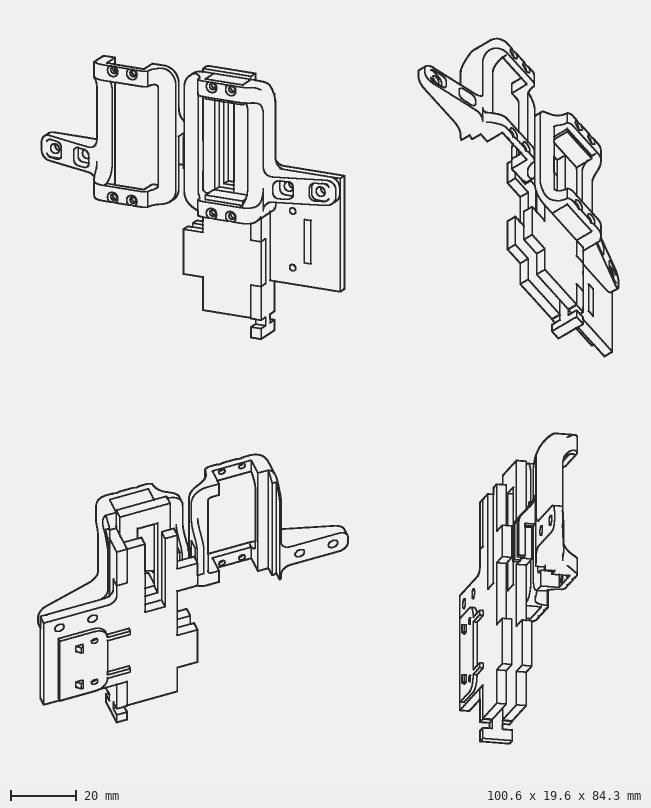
import cadquery as cq
import math


rear_plate_back = 3.0
front_plate_back = -3.2
plate_front = -6.3
board_back = 4.2
hook_back = 5.4

bar_inner = 23.1
bar_outer = 26.5
plate_side = 6.7
tab_side = 0.1
rear_plate_end = 50.4
window_slot_left = 10.8
window_slot_right = 17.3

foot_top = 3.4
neck_top = 6.1
plate_bottom = 6.3
front_plate_top = 84.3
rear_plate_top = 76.3
lower_tab = (17.0, 31.5)
upper_tab = (51.2, 61.2)
frame_bottom = 39.4
frame_top = 83.3
frame_middle = (frame_bottom + frame_top) / 2
slot_height = 31.1
slot_bottom = frame_middle - slot_height / 2
slot_top = frame_middle + slot_height / 2

frame_front = -14.2
shelf_front = -8.4
frame_inner_end = 1.4
frame_outer = 28.3
beam_height = 5.0
window_bottom = frame_bottom + beam_height
window_top = frame_top - beam_height
window_left = 6.8
window_corner_radius = 1.2
lip_thickness = 0.5
lip_front = -3.1
bend_radius = 4.9
sweep_radius = 5.0
sweep_start = 3.5
nose_start = 10.5
outer_corner_radius = 1.9
inner_corner_radius = 5.0
column_fillet = 5.0
pad_front = -12.1

wall_arc_start = 75.3
wall_arc_middle = (-2.5, 80.0)
rail_width = 2.1
rail_back = -1.2
rail_bottom = 51.0
rail_curve_radius = 5.0
rail_slope_run = 2.1
rail_slope_angle = math.radians(45)

arm_tip = 50.2
arm_tip_thickness = 2.5
arm_slope_end = 29.5
arm_bottom = 45.4
arm_top = 53.6
arm_middle = (arm_bottom + arm_top) / 2
arm_radius = 3.0
bolt_positions = (34.4, 45.2)
bolt_diameter = 3.0
nut_pocket_width = 6.0
nut_pocket_height = 5.7
nut_pocket_radius = 1.8
nut_pocket_floor = -3.1

screw_positions = (13.6, 20.1)
screw_edge_distance = 1.5
screw_diameter = 2.0
countersink_diameter = 3.5

board_left = 30.0
board_right = 45.5
board_bottom = 18.1
board_top = 44.8
board_corner_radius = 4.2
board_hole_diameter = 2.0
board_hole_x = board_left + board_corner_radius
board_hole_heights = (board_bottom + board_corner_radius, board_top - board_corner_radius)
board_middle = (board_bottom + board_top) / 2
leg_left = 22.5
leg_height = 1.5
key_left = 38.1
key_right = 40.4
key_height = 14.0
hook_height = 2.3
hook_side_back = 4.8
hook_crest_left = 38.4
hook_crest_right = 39.0


def block(x_range, y_range, z_range):
    """Box between the given limits."""
    size = [high - low for low, high in (x_range, y_range, z_range)]
    corner = (x_range[0], y_range[0], z_range[0])
    return cq.Workplane("XY").box(*size, centered=False).translate(corner)


def front_sketch(y):
    """XZ sketch plane at the given Y; a negative extrusion runs towards the back."""
    return cq.Workplane("XZ", origin=(0, y, 0))


def cylinder_along_y(x, z, diameter, y_front, y_back):
    return front_sketch(y_front).center(x, z).circle(diameter / 2).extrude(y_front - y_back)



def bent_frame():
    """Bent cross-section, run the full height and trimmed to rounded corners."""
    sweep_end = (sweep_start + sweep_radius, shelf_front - sweep_radius)
    section = (
        cq.Workplane("XY", origin=(0, 0, frame_bottom))
        .moveTo(frame_outer, 0)
        .lineTo(frame_outer, frame_front + bend_radius)
        .radiusArc((frame_outer - bend_radius, frame_front), bend_radius)
        .lineTo(nose_start, frame_front)
        .tangentArcPoint(sweep_end, relative=False)
        .radiusArc((sweep_start, shelf_front), -sweep_radius)
        .lineTo(frame_inner_end, shelf_front)
        .lineTo(frame_inner_end, plate_front)
        .lineTo(bar_outer, plate_front)
        .lineTo(bar_outer, lip_front)
        .lineTo(frame_outer - lip_thickness, lip_front)
        .lineTo(frame_outer - lip_thickness, 0)
        .close()
        .extrude(frame_top - frame_bottom)
    )
    outline = block((frame_inner_end, frame_outer), (frame_front, 0), (frame_bottom, frame_top))
    outline = outline.edges("|Y and >X").fillet(outer_corner_radius)
    outline = outline.edges("|Y and <X").fillet(inner_corner_radius)
    return section.intersect(outline)


def frame_window():
    """Opening between the beams, with small corners on the side of the mirror plane."""
    opening = block((window_left, bar_inner), (frame_front, 0), (window_bottom, window_top))
    return opening.edges("|Y and <X").fillet(window_corner_radius)


def column_relief():
    """Sets the column back from the beams, with large fillets into both."""
    relief = block((bar_inner, frame_outer), (frame_front, shelf_front), (window_bottom, window_top))
    return relief.edges("|X and >Y").fillet(column_fillet)


def beam_notches():
    """Recess for a pad in the back of both beams."""
    return block((nose_start, bar_inner), (pad_front, plate_front), (frame_bottom, frame_top))


def wall_top_trim():
    """Curved cut off the top rear corner of the outer wall."""
    return (
        cq.Workplane("YZ")
        .moveTo(0, wall_arc_start)
        .threePointArc(wall_arc_middle, (plate_front, frame_top))
        .lineTo(0, frame_top)
        .close()
        .extrude(frame_outer)
    )


def hook_rail():
    """Rail behind the inner edge that hooks over the upper tab of the front plate."""
    curve_depth = rail_curve_radius * (1 - math.cos(rail_slope_angle))
    curve_rise = rail_curve_radius * math.sin(rail_slope_angle)
    slope_rise = rail_slope_run * math.tan(rail_slope_angle)
    slope_start = (rail_back - curve_depth, upper_tab[1] + curve_rise)
    slope_end = (slope_start[0] - rail_slope_run, slope_start[1] + slope_rise)
    return (
        cq.Workplane("YZ", origin=(frame_inner_end, 0, 0))
        .moveTo(rail_back, rail_bottom)
        .lineTo(rail_back, upper_tab[1])
        .radiusArc(slope_start, -rail_curve_radius)
        .lineTo(*slope_end)
        .radiusArc((plate_front, slope_end[1] + curve_rise), rail_curve_radius)
        .lineTo(plate_front, upper_tab[1])
        .lineTo(front_plate_back, upper_tab[1])
        .lineTo(front_plate_back, rail_bottom)
        .close()
        .extrude(rail_width)
    )


def arm():
    """Tapered arm with a rounded tip and blends into the outer wall."""
    taper = (
        cq.Workplane("XY", origin=(0, 0, frame_bottom))
        .moveTo(frame_outer, 0)
        .lineTo(arm_tip, 0)
        .lineTo(arm_tip, -arm_tip_thickness)
        .lineTo(arm_slope_end, shelf_front)
        .lineTo(frame_outer, shelf_front)
        .close()
        .extrude(frame_top - frame_bottom)
    )
    outline = (
        front_sketch(shelf_front)
        .moveTo(frame_outer, arm_bottom - arm_radius)
        .radiusArc((frame_outer + arm_radius, arm_bottom), arm_radius)
        .lineTo(arm_tip - arm_radius, arm_bottom)
        .radiusArc((arm_tip, arm_bottom + arm_radius), -arm_radius)
        .lineTo(arm_tip, arm_top - arm_radius)
        .radiusArc((arm_tip - arm_radius, arm_top), -arm_radius)
        .lineTo(frame_outer + arm_radius, arm_top)
        .radiusArc((frame_outer, arm_top + arm_radius), arm_radius)
        .close()
        .extrude(shelf_front)
    )
    return taper.intersect(outline)


def nut_pocket(x):
    """Rounded pocket with a flat floor, open to the sloped front of the arm."""
    half_width = nut_pocket_width / 2
    half_height = nut_pocket_height / 2
    pocket = block(
        (x - half_width, x + half_width),
        (shelf_front, nut_pocket_floor),
        (arm_middle - half_height, arm_middle + half_height),
    )
    return pocket.edges("|Y").fillet(nut_pocket_radius)


def countersunk_hole(x, z):
    """Through hole with a right-angled countersink in the front face."""
    sink_depth = (countersink_diameter - screw_diameter) / 2
    sink = cq.Solid.makeCone(
        countersink_diameter / 2,
        screw_diameter / 2,
        sink_depth,
        pnt=cq.Vector(x, frame_front, z),
        dir=cq.Vector(0, 1, 0),
    )
    return cylinder_along_y(x, z, screw_diameter, frame_front, plate_front).union(cq.Workplane(sink))


def bracket():
    """Bracket on the +X side."""
    body = bent_frame().cut(frame_window()).cut(column_relief()).cut(beam_notches()).cut(wall_top_trim())
    body = body.union(hook_rail()).union(arm())
    for x in bolt_positions:
        body = body.cut(nut_pocket(x))
        body = body.cut(cylinder_along_y(x, arm_middle, bolt_diameter, shelf_front, 0))
    for x in screw_positions:
        for z in (frame_bottom + screw_edge_distance, frame_top - screw_edge_distance):
            body = body.cut(countersunk_hole(x, z))
    return body



def slotted_plate(y_range, top):
    """Plate with two pairs of side tabs and the window slot."""
    plate = block((plate_side, bar_inner), y_range, (plate_bottom, top))
    for tab in (lower_tab, upper_tab):
        plate = plate.union(block((tab_side, bar_outer), y_range, tab))
    return plate.cut(block((window_slot_left, window_slot_right), y_range, (slot_bottom, slot_top)))


def front_plate():
    """Taller slotted plate, against the backs of the bracket beams."""
    return slotted_plate((plate_front, front_plate_back), front_plate_top)


def board_key(y_range):
    """Rectangular key of the board, also the matching slot in the rear plate."""
    heights = (board_middle - key_height / 2, board_middle + key_height / 2)
    return block((key_left, key_right), y_range, heights)


def rear_plate():
    """Slotted plate with a wing that reaches behind the +X bracket arm."""
    thickness = (0, rear_plate_back)
    wing = block((bar_inner, rear_plate_end), thickness, (lower_tab[0], arm_top))
    wing = wing.union(block((bar_inner, bar_outer), thickness, (arm_top, upper_tab[1])))
    inside_corner = cq.selectors.NearestToPointSelector((bar_outer, rear_plate_back / 2, arm_top))
    wing = wing.edges("|Y").edges(inside_corner).fillet(arm_radius)
    plate = slotted_plate(thickness, rear_plate_top).union(wing).cut(board_key(thickness))
    for z in board_hole_heights:
        plate = plate.cut(cylinder_along_y(board_hole_x, z, board_hole_diameter, 0, rear_plate_back))
    for x in bolt_positions:
        plate = plate.cut(cylinder_along_y(x, arm_middle, bolt_diameter, 0, rear_plate_back))
    return plate


def spacer_bar():
    """Upright bar between the plates, notched where their tabs pass, with a T foot."""
    width = (bar_inner, bar_outer)
    front = (plate_front, front_plate_back)
    back = (0, rear_plate_back)
    bar = block(width, (plate_front, rear_plate_back), (0, rear_plate_top))
    for tab in (lower_tab, upper_tab, (foot_top, neck_top)):
        bar = bar.cut(block(width, front, tab))
    for gap in ((lower_tab[0], upper_tab[1]), (foot_top, neck_top)):
        bar = bar.cut(block(width, back, gap))
    return bar


def pads():
    """Pads in the notches of the +X bracket, reaching to the ends of the window slot."""
    x_range = (nose_start, bar_inner)
    y_range = (pad_front, plate_front)
    heights = ((frame_bottom, slot_bottom), (slot_top, frame_top))
    return [block(x_range, y_range, z_range) for z_range in heights]


def snap_hook(z_range):
    """Wedge on the back of the board, steep on one side and sloped on the other."""
    return (
        cq.Workplane("XY", origin=(0, 0, z_range[0]))
        .moveTo(key_left, board_back)
        .lineTo(key_left, hook_side_back)
        .lineTo(hook_crest_left, hook_back)
        .lineTo(hook_crest_right, hook_back)
        .lineTo(key_right, board_back)
        .close()
        .extrude(z_range[1] - z_range[0])
    )


def switch_board():
    """Thin board behind the rear plate with two legs, a key and two hooks."""
    thickness = (rear_plate_back, board_back)
    board = block((board_left, board_right), thickness, (board_bottom, board_top))
    board = board.edges("|Y and <X").fillet(board_corner_radius)
    low_hole, high_hole = board_hole_heights
    for bottom in (low_hole, high_hole - leg_height):
        board = board.union(block((leg_left, board_left), thickness, (bottom, bottom + leg_height)))
    for z in board_hole_heights:
        board = board.cut(cylinder_along_y(board_hole_x, z, board_hole_diameter, *thickness))
    board = board.union(board_key((0, rear_plate_back)))
    for bottom in (low_hole, high_hole - hook_height):
        board = board.union(snap_hook((bottom, bottom + hook_height)))
    return board


right_bracket = bracket()
left_bracket = right_bracket.mirror("YZ")

result = cq.Compound.makeCompound([
    left_bracket.val(),
    right_bracket.val(),
    front_plate().val(),
    rear_plate().val(),
    spacer_bar().val(),
    *[pad.val() for pad in pads()],
    switch_board().val(),
])